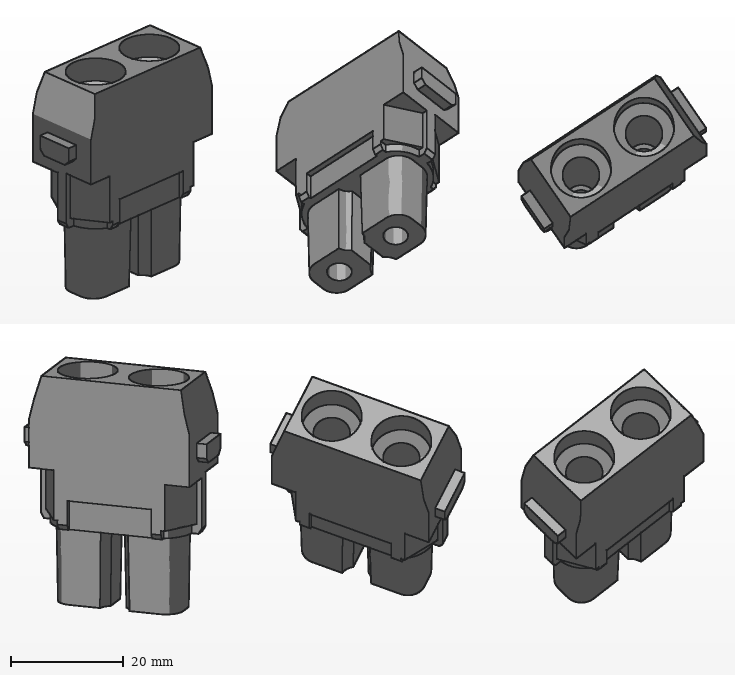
import cadquery as cq
import math

total_height = 42.35
body_bottom = 14.53

body_width = 14.6
body_length = 30.35
side_taper_inset = 1.0
end_taper_inset = 2.0
taper_slope = 4.0
foot_chamfer_inset = 0.6
foot_chamfer_height = 1.0

peg_projection = 1.85
peg_top = 32.0
peg_height = 3.65
peg_chamfer = 0.97
front_peg_width = 7.2
back_peg_width = 8.95

contact_offset = 6.75
cup_radius = 5.35
cup_depth = 4.5
funnel_depth = 1.05
bore_mouth_radius = 3.25
bore_floor_radius = 3.05
wire_hole_radius = 2.2

pin_half_width = 4.7
pin_outer_reach = 12.0
pin_inner_reach = 1.23
pin_draft_inset = 0.25
pin_corner_x = 1.23
pin_corner_y = 8.5

clearance_x = 4.95
clearance_top_radius = 2.6
clearance_bottom_radius = clearance_top_radius + pin_draft_inset

relief_rib_half_width = 1.1
relief_side_y = 10.5
relief_end_y = 14.25
relief_bottom = 16.3
high_relief_top = 25.5
low_relief_top = 24.9
shroud_radius = 6.7
shroud_side_y = 9.8

recess_length = 15.85
recess_height = 5.55
recess_depth = 1.0

half_width = body_width / 2
half_length = body_length / 2


def make_body():
    """Block tapered on all sides at the top and chamfered around the foot."""
    foot_z = body_bottom + foot_chamfer_height

    def profile(half_span, taper_inset):
        shoulder_z = total_height - taper_inset * taper_slope
        right = [
            (half_span - foot_chamfer_inset, body_bottom),
            (half_span, foot_z),
            (half_span, shoulder_z),
            (half_span - taper_inset, total_height),
        ]
        left = [(-across, z) for across, z in reversed(right)]
        return right + left

    along_y = cq.Workplane("XZ").polyline(profile(half_width, side_taper_inset)).close()
    along_x = cq.Workplane("YZ").polyline(profile(half_length, end_taper_inset)).close()
    lengthwise = along_y.extrude(half_length, both=True)
    return lengthwise.intersect(along_x.extrude(half_width, both=True))


def make_peg(width, end):
    """Peg on one end face (end = -1 or 1), chamfered on its two lower edges."""
    half = width / 2
    peg_bottom = peg_top - peg_height
    outline = [
        (-half, peg_top),
        (half, peg_top),
        (half, peg_bottom + peg_chamfer),
        (half - peg_chamfer, peg_bottom),
        (-half + peg_chamfer, peg_bottom),
        (-half, peg_bottom + peg_chamfer),
    ]
    face = cq.Workplane("XZ", origin=(0, end * half_length, 0)).polyline(outline).close()
    return face.extrude(-end * peg_projection)


def make_corner_relief(side, end):
    """Cutter for one lower corner: a diagonal flat above a round shroud."""
    top = high_relief_top if side * end < 0 else low_relief_top
    flat = (
        cq.Workplane("XY", origin=(0, 0, relief_bottom))
        .moveTo(side * half_width, end * relief_side_y)
        .lineTo(side * relief_rib_half_width, end * relief_end_y)
        .lineTo(side * relief_rib_half_width, end * half_length)
        .lineTo(side * half_width, end * half_length)
        .close()
        .extrude(top - relief_bottom)
    )
    depth = relief_bottom - body_bottom
    corner = (
        cq.Workplane("XY", origin=(0, 0, body_bottom))
        .moveTo(side * relief_rib_half_width, end * shroud_side_y)
        .lineTo(side * half_width, end * shroud_side_y)
        .lineTo(side * half_width, end * half_length)
        .lineTo(side * relief_rib_half_width, end * half_length)
        .close()
        .extrude(depth)
    )
    shroud = (
        cq.Workplane("XY", origin=(0, end * contact_offset, body_bottom))
        .circle(shroud_radius)
        .extrude(depth)
    )
    return flat.union(corner.cut(shroud))


def make_side_recess(side):
    """Cutter for the recess low on one broad side."""
    return (
        cq.Workplane("XY", origin=(side * (half_width - recess_depth / 2), 0, body_bottom))
        .rect(recess_depth, recess_length)
        .extrude(recess_height)
    )


def add_pin_outline(plane, inset):
    """Pin section at the +Y end: square inner corners, round outer corners."""
    half = pin_half_width - inset
    inner = pin_inner_reach + inset
    outer = pin_outer_reach - inset
    diagonal_x = pin_corner_x + (half - pin_corner_x) * math.sqrt(0.5)
    diagonal_y = pin_corner_y + (outer - pin_corner_y) * math.sqrt(0.5)
    return (
        plane.moveTo(-half, inner)
        .lineTo(half, inner)
        .lineTo(half, pin_corner_y)
        .threePointArc((diagonal_x, diagonal_y), (pin_corner_x, outer))
        .lineTo(-pin_corner_x, outer)
        .threePointArc((-diagonal_x, diagonal_y), (-half, pin_corner_y))
        .close()
    )


def make_pin():
    """Drafted pin at the +Y end with its inner corners hollowed out."""
    section = add_pin_outline(cq.Workplane("XY"), pin_draft_inset)
    pin = add_pin_outline(section.workplane(offset=body_bottom), 0).loft(ruled=True)
    for side in (-1, 1):
        clearance = cq.Solid.makeCone(
            clearance_bottom_radius, clearance_top_radius, body_bottom, cq.Vector(side * clearance_x, 0, 0)
        )
        pin = pin.cut(cq.Workplane(clearance))
    return pin


def make_contact_chamber(y):
    """Cutter: cup, funnel and drafted bore, then a wire hole through the pin."""
    cup_floor = total_height - cup_depth
    funnel_floor = cup_floor - funnel_depth
    outline = [
        (0, 0),
        (wire_hole_radius, 0),
        (wire_hole_radius, body_bottom),
        (bore_floor_radius, body_bottom),
        (bore_mouth_radius, funnel_floor),
        (cup_radius, cup_floor),
        (cup_radius, total_height),
        (0, total_height),
    ]
    half_section = cq.Workplane("XZ", origin=(0, y, 0)).polyline(outline).close()
    return half_section.revolve(360, (0, 0, 0), (0, 1, 0))


body = make_body()
for side in (-1, 1):
    body = body.cut(make_side_recess(side))
    for end in (-1, 1):
        body = body.cut(make_corner_relief(side, end))

body = body.union(make_peg(front_peg_width, -1)).union(make_peg(back_peg_width, 1))

back_pin = make_pin()
body = body.union(back_pin).union(back_pin.mirror("XZ"))

for end in (-1, 1):
    body = body.cut(make_contact_chamber(end * contact_offset))

result = body